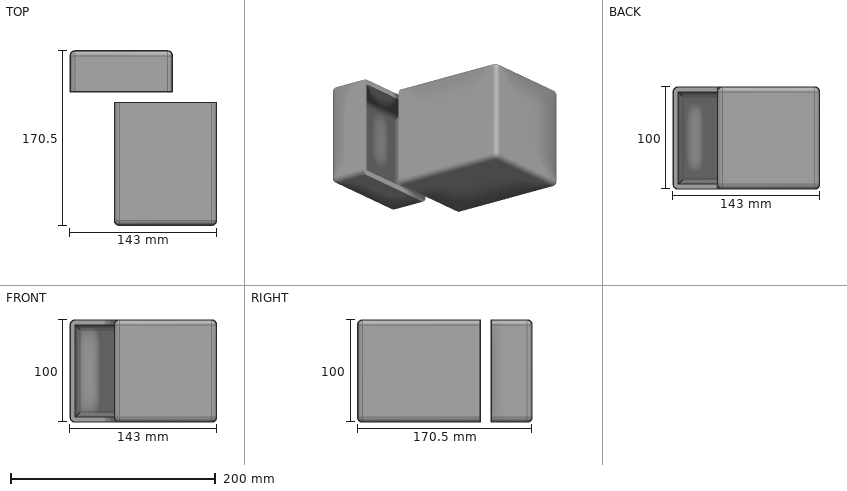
import cadquery as cq

overall_length = 170.5
overall_width = 143.0
side = 100.0
box_length = 120.0
lid_length = 40.0
wall = 5.0
floor_thickness = 2 * wall
outer_radius = 5.0
floor_radius = 5.0

lid_shift = overall_width - side


def open_shell(length):
    """Square cup, closed at Y = 0 and open at Y = length, with its corner at the origin."""
    outside = (
        cq.Workplane("XY")
        .box(side, length, side, centered=False)
        .edges("|Y or <Y")
        .fillet(outer_radius)
    )
    cavity_side = side - 2 * wall
    cavity = (
        cq.Workplane("XY")
        .box(cavity_side, length - floor_thickness, cavity_side, centered=False)
        .faces("<Y")
        .edges()
        .fillet(floor_radius)
        .translate((wall, floor_thickness, wall))
    )
    return outside.cut(cavity)


box = open_shell(box_length).translate((lid_shift, 0, 0))

lid = (
    open_shell(lid_length)
    .rotate((0, 0, 0), (0, 0, 1), 180)
    .translate((side, overall_length, 0))
)

result = cq.Compound.makeCompound([box.val(), lid.val()])